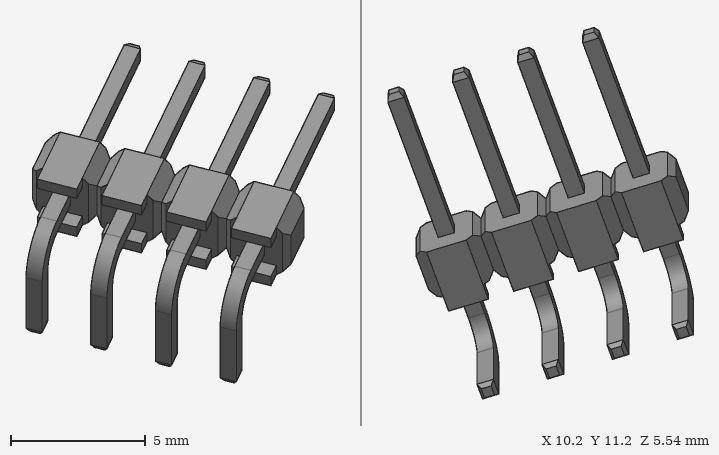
import cadquery as cq


pin_count = 4
row_length = 10.17
pitch = row_length / pin_count

housing_size = pitch
housing_depth = 1.95
long_edge_chamfer = 0.49
end_edge_chamfer = long_edge_chamfer / 2

tab_length = 0.61
tab_height = long_edge_chamfer
tab_width = housing_size - 2 * long_edge_chamfer

pin_size = 0.64
inner_bend_radius = 1.0
outer_bend_radius = inner_bend_radius + pin_size
total_length = 11.22
total_height = 5.54
mating_length = 6.09
leg_front = mating_length - total_length
leg_bottom = housing_size / 2 - total_height
tip_length = 0.24
tip_inset = 0.12
tip_size = pin_size - 2 * tip_inset


def make_housing():
    """Block with bevelled corners seen along Y and along Z, plus its two tabs."""
    block = (
        cq.Workplane("XY")
        .box(housing_size, housing_depth, housing_size, centered=(True, False, True))
        .translate((0, -housing_depth, 0))
    )
    bevelled_along = block.edges("|Y").chamfer(long_edge_chamfer)
    bevelled_upright = block.edges("|Z").chamfer(end_edge_chamfer)
    housing = bevelled_along.intersect(bevelled_upright)

    tab_offset = (housing_size - tab_height) / 2
    for side in (-1, 1):
        tab = cq.Workplane("XY").box(tab_width, tab_length, tab_height).translate(
            (0, -housing_depth - tab_length / 2, side * tab_offset)
        )
        housing = housing.union(tab)
    return housing


def make_tip(base_plane):
    """Frustum that tapers the pin away from the given plane."""
    return (
        cq.Workplane(base_plane)
        .rect(pin_size, pin_size)
        .workplane(offset=tip_length)
        .rect(tip_size, tip_size)
        .loft(ruled=True)
    )


def make_pin():
    """Square pin bent down through a right angle, with a tapered tip at each end."""
    half = pin_size / 2
    mating_end = mating_length - tip_length
    leg_end = leg_bottom + tip_length
    leg_back = leg_front + pin_size
    bend_start = leg_front + outer_bend_radius
    bend_end = half - outer_bend_radius

    shank = (
        cq.Workplane("YZ")
        .moveTo(mating_end, half)
        .lineTo(bend_start, half)
        .radiusArc((leg_front, bend_end), -outer_bend_radius)
        .lineTo(leg_front, leg_end)
        .lineTo(leg_back, leg_end)
        .lineTo(leg_back, bend_end)
        .radiusArc((bend_start, -half), inner_bend_radius)
        .lineTo(mating_end, -half)
        .close()
        .extrude(half, both=True)
    )
    mating_plane = cq.Plane(origin=(0, mating_end, 0), xDir=(1, 0, 0), normal=(0, 1, 0))
    leg_plane = cq.Plane(origin=(0, leg_front + half, leg_end), xDir=(1, 0, 0), normal=(0, 0, -1))
    return shank.union(make_tip(mating_plane)).union(make_tip(leg_plane))


def make_row():
    """Housings joined side by side, each with its pin."""
    position = make_housing().union(make_pin())
    first_x = (pitch - row_length) / 2
    row = position.translate((first_x, 0, 0))
    for index in range(1, pin_count):
        row = row.union(position.translate((first_x + index * pitch, 0, 0)))
    return row


result = make_row()